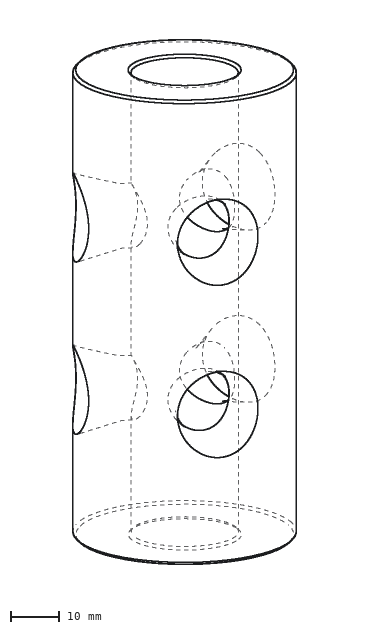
import cadquery as cq

length = 99.4
outer_diameter = 46.0
bore_diameter = 22.1
edge_chamfer = 0.6

hole_diameter = 13.3
flare_diameter = 18.4
flare_start = 13.4
hole_angles = [90.0, 220.0, 320.0]
lower_hole_height = 31.9
hole_pitch = 36.9

outer_radius = outer_diameter / 2
hole_radius = hole_diameter / 2
flare_radius = flare_diameter / 2
cutter_overshoot = 1.0


def make_sleeve():
    """Plain tube with both rims chamfered inside and outside."""
    tube = cq.Workplane("XY").circle(outer_radius).circle(bore_diameter / 2).extrude(length)
    return tube.faces("|Z").edges().chamfer(edge_chamfer)


def make_hole_cutter():
    """Flared hole along +X, starting on the sleeve axis at Z = 0."""
    flare_slope = (flare_radius - hole_radius) / (outer_radius - flare_start)
    cutter_end = outer_radius + cutter_overshoot
    cutter_end_radius = flare_radius + flare_slope * cutter_overshoot
    half_profile = (
        cq.Workplane("XY")
        .moveTo(0, 0)
        .lineTo(0, hole_radius)
        .lineTo(flare_start, hole_radius)
        .lineTo(cutter_end, cutter_end_radius)
        .lineTo(cutter_end, 0)
        .close()
    )
    return half_profile.revolve(360, (0, 0, 0), (1, 0, 0))


result = make_sleeve()
hole_cutter = make_hole_cutter()
for height in (lower_hole_height, lower_hole_height + hole_pitch):
    for angle in hole_angles:
        placed_cutter = hole_cutter.rotate((0, 0, 0), (0, 0, 1), angle).translate((0, 0, height))
        result = result.cut(placed_cutter)